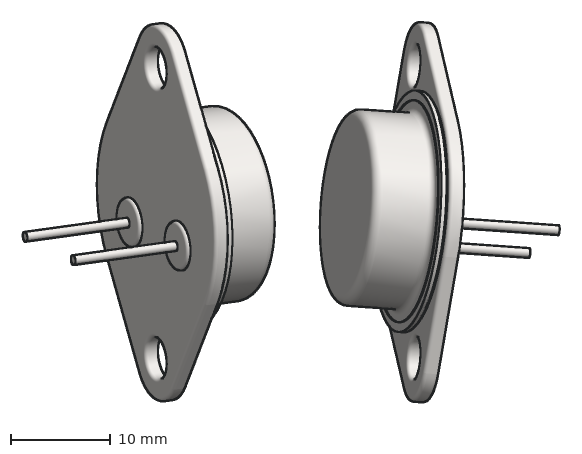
import cadquery as cq
import math

plate_length = 38.9
plate_radius = 12.75
plate_thickness = 1.6
end_radius = 4.4
end_z = plate_length / 2 - end_radius
edge_round = 0.4

hole_diameter = 4.2

neck_radius = 11.95
neck_height = 0.15
flange_radius = 12.15
flange_height = 0.55
step_radius = 11.15
step_height = 0.08
can_radius = 9.9
cap_height = 7.08
can_top_round = 0.95
can_root_round = 0.6

pin_diameter = 1.0
pin_length = 12.0
pin_x_places = (-5.25, 4.98)
pin_z = -2.18
pad_diameter = 5.05
pad_height = 0.4
pad_round = 0.35


def disc(radius, start_y, height, x=0, z=0):
    """Cylinder along Y from start_y to start_y + height."""
    return cq.Workplane(
        cq.Solid.makeCylinder(radius, height, cq.Vector(x, start_y, z), cq.Vector(0, 1, 0))
    )


def make_plate():
    angle = math.asin((plate_radius - end_radius) / end_z)
    side_x = plate_radius * math.cos(angle)
    side_z = plate_radius * math.sin(angle)
    tip_x = end_radius * math.cos(angle)
    tip_z = end_z + end_radius * math.sin(angle)
    half_length = plate_length / 2

    plate = (
        cq.Workplane("XZ")
        .moveTo(side_x, side_z)
        .lineTo(tip_x, tip_z)
        .threePointArc((0, half_length), (-tip_x, tip_z))
        .lineTo(-side_x, side_z)
        .threePointArc((-plate_radius, 0), (-side_x, -side_z))
        .lineTo(-tip_x, -tip_z)
        .threePointArc((0, -half_length), (tip_x, -tip_z))
        .lineTo(side_x, -side_z)
        .threePointArc((plate_radius, 0), (side_x, side_z))
        .close()
        .extrude(-plate_thickness)
    )
    for z in (-end_z, end_z):
        plate = plate.cut(disc(hole_diameter / 2, 0, plate_thickness, z=z))
    return plate.faces("<Y or >Y").edges().fillet(edge_round)


def make_cap():
    flange_y = plate_thickness + neck_height
    step_y = flange_y + flange_height
    can_y = step_y + step_height
    top_y = plate_thickness + cap_height
    arc_offset = 1 - math.sqrt(0.5)
    root_offset = can_root_round * arc_offset
    top_offset = can_top_round * arc_offset

    return (
        cq.Workplane("XY")
        .moveTo(0, plate_thickness)
        .lineTo(neck_radius, plate_thickness)
        .lineTo(neck_radius, flange_y)
        .lineTo(flange_radius, flange_y)
        .lineTo(flange_radius, step_y)
        .lineTo(step_radius, step_y)
        .lineTo(step_radius, can_y)
        .lineTo(can_radius + can_root_round, can_y)
        .threePointArc(
            (can_radius + root_offset, can_y + root_offset),
            (can_radius, can_y + can_root_round),
        )
        .lineTo(can_radius, top_y - can_top_round)
        .threePointArc(
            (can_radius - top_offset, top_y - top_offset),
            (can_radius - can_top_round, top_y),
        )
        .lineTo(0, top_y)
        .close()
        .revolve(360, (0, 0, 0), (0, 1, 0))
    )


def make_pin(x):
    pad = disc(pad_diameter / 2, -pad_height, pad_height, x, pin_z)
    pad = pad.faces("<Y").edges().fillet(pad_round)
    return pad.union(disc(pin_diameter / 2, -pin_length, pin_length, x, pin_z))


result = make_plate().union(make_cap())
for pin_x in pin_x_places:
    result = result.union(make_pin(pin_x))